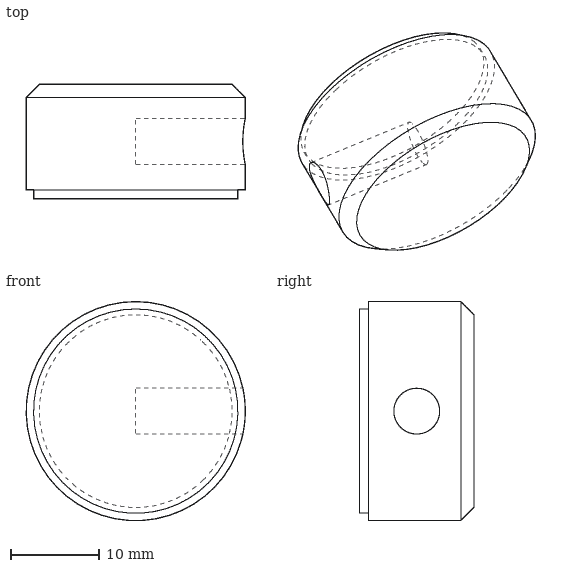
import cadquery as cq

body_diameter = 24.9
body_length = 12.0
back_chamfer = 1.5

step_diameter = 23.2
step_length = 1.01

hole_diameter = 5.2
hole_depth = body_diameter / 2

overall_length = body_length + step_length
front_face_y = -overall_length / 2
shoulder_y = front_face_y + step_length
back_face_y = overall_length / 2


def make_turned_body():
    """Solid of revolution: front step, shoulder, cylinder and back chamfer."""
    body_radius = body_diameter / 2
    step_radius = step_diameter / 2
    half_profile = (
        cq.Workplane("YZ")
        .moveTo(front_face_y, 0)
        .lineTo(front_face_y, step_radius)
        .lineTo(shoulder_y, step_radius)
        .lineTo(shoulder_y, body_radius)
        .lineTo(back_face_y - back_chamfer, body_radius)
        .lineTo(back_face_y, body_radius - back_chamfer)
        .lineTo(back_face_y, 0)
        .close()
    )
    return half_profile.revolve(360, (0, 0), (1, 0))


def make_side_hole():
    """Radial hole at mid-length, running from outside the +X side to its blind end."""
    bottom_x = body_diameter / 2 - hole_depth
    return (
        cq.Workplane("YZ", origin=(bottom_x, 0, 0))
        .circle(hole_diameter / 2)
        .extrude(body_diameter)
    )


result = make_turned_body().cut(make_side_hole())